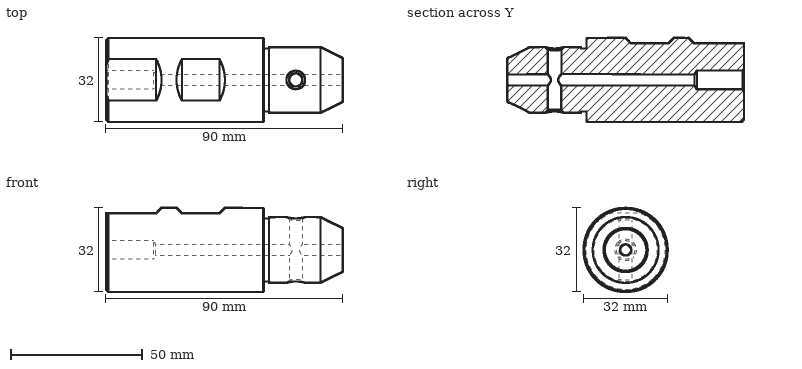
import cadquery as cq
import math

length = 90.0

shank_diameter = 32.0
shank_end = 59.9
shank_back_chamfer = 1.0
shank_front_chamfer = 0.45
neck_diameter = 24.0
neck_length = 2.0
pilot_diameter = 25.0
taper_start = 81.45
nose_diameter = 16.8
nose_chamfer = 0.5
nose_chamfer_depth = 0.3

flat_depth = 2.1
back_flat_end = 19.0
front_flat_start = 28.8
front_flat_end = 43.0

axial_diameter = 4.1
bore_diameter = 7.0
bore_depth = 18.0
bore_tip_angle = 120.0
bore_mouth_diameter = 8.2

cross_diameter = 4.95
cross_chamfer = 1.1
cross_x = 72.0

shank_radius = shank_diameter / 2
neck_radius = neck_diameter / 2
pilot_radius = pilot_diameter / 2
nose_radius = nose_diameter / 2


def revolve_about_x(points):
    """Turn an (x, radius) outline about the tool axis."""
    return cq.Workplane("XY").polyline(points).close().revolve(360, (0, 0, 0), (1, 0, 0))


def turned_body():
    neck_end = shank_end + neck_length
    return revolve_about_x([
        (0, 0),
        (0, shank_radius - shank_back_chamfer),
        (shank_back_chamfer, shank_radius),
        (shank_end - shank_front_chamfer, shank_radius),
        (shank_end, shank_radius - shank_front_chamfer),
        (shank_end, neck_radius),
        (neck_end, neck_radius),
        (neck_end, pilot_radius),
        (taper_start, pilot_radius),
        (length - nose_chamfer_depth, nose_radius),
        (length, nose_radius - nose_chamfer),
        (length, 0),
    ])


def flat_cutter(start, end):
    """Trapezoidal cut across the top of the shank, widening upward at 45 degrees."""
    floor_z = shank_radius - flat_depth
    cut_height = 2 * flat_depth
    return (
        cq.Workplane("XZ")
        .polyline([
            (start, floor_z),
            (end, floor_z),
            (end + cut_height, floor_z + cut_height),
            (start - cut_height, floor_z + cut_height),
        ])
        .close()
        .extrude(shank_radius, both=True)
    )


def axial_hole():
    axial_radius = axial_diameter / 2
    bore_radius = bore_diameter / 2
    mouth_radius = bore_mouth_diameter / 2
    mouth_depth = mouth_radius - bore_radius
    cone_depth = (bore_radius - axial_radius) / math.tan(math.radians(bore_tip_angle / 2))
    return revolve_about_x([
        (0, 0),
        (0, mouth_radius),
        (mouth_depth, bore_radius),
        (bore_depth, bore_radius),
        (bore_depth + cone_depth, axial_radius),
        (length, axial_radius),
        (length, 0),
    ])


def drill_cross_hole(body):
    """Drill across the pilot and chamfer the saddle-shaped rims."""
    drill = cq.Workplane("XY", origin=(cross_x, 0, 0)).circle(cross_diameter / 2).extrude(
        shank_radius, both=True
    )
    rim_zone_size = 2 * cross_diameter
    rim_zone_bottom = pilot_radius / 2
    rims = cq.selectors.BoxSelector(
        (cross_x - rim_zone_size / 2, -rim_zone_size / 2, rim_zone_bottom),
        (cross_x + rim_zone_size / 2, rim_zone_size / 2, shank_radius),
    ) + cq.selectors.BoxSelector(
        (cross_x - rim_zone_size / 2, -rim_zone_size / 2, -shank_radius),
        (cross_x + rim_zone_size / 2, rim_zone_size / 2, -rim_zone_bottom),
    )
    return body.cut(drill).edges(rims).edges("not |Z").chamfer(cross_chamfer)


body = (
    turned_body()
    .cut(flat_cutter(0, back_flat_end))
    .cut(flat_cutter(front_flat_start, front_flat_end))
    .cut(axial_hole())
)
result = drill_cross_hole(body)